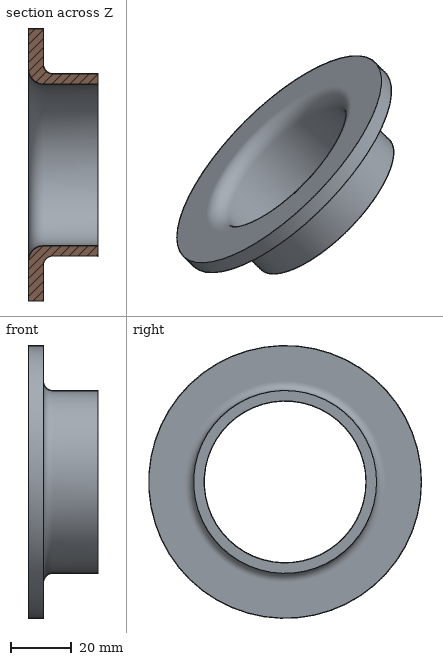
import cadquery as cq

flange_diameter = 90.0
flange_thickness = 5.0
total_length = 23.0
tube_diameter = 60.3
bore_diameter = 53.3
mouth_radius = 5.0
root_radius = 3.0

tube_length = total_length - flange_thickness
smallest_circle = cq.selectors.RadiusNthSelector(0)

flange = cq.Workplane("YZ").circle(flange_diameter / 2).extrude(flange_thickness)
tube = (
    cq.Workplane("YZ", origin=(flange_thickness, 0, 0))
    .circle(tube_diameter / 2)
    .extrude(tube_length)
)
body = flange.union(tube)

body = body.edges(smallest_circle).edges("<X").fillet(root_radius)

bore = cq.Workplane("YZ").circle(bore_diameter / 2).extrude(total_length)
body = body.cut(bore)

result = body.faces("<X").edges(smallest_circle).fillet(mouth_radius)